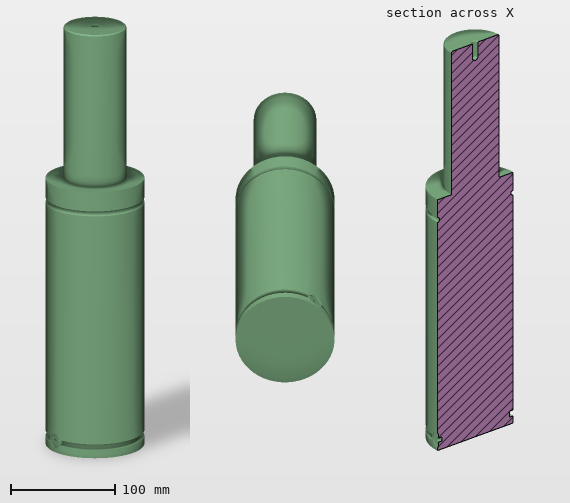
import cadquery as cq

total_height = 420.0
body_diameter = 95.0
body_height = 267.5
rod_diameter = 60.0
rod_chamfer = 1.3
body_radius = body_diameter / 2

base_groove_bottom = 8.0
base_groove_width = 6.0
base_groove_depth = 4.0

head_groove_center_height = 245.5
head_groove_radius = 2.5

rod_hole_diameter = 6.7
rod_hole_depth = 17.0
rod_hole_chamfer = 1.0
countersink_angle = 90
drill_tip_height = 2.0

port_height = 11.0
port_diameter = 16.0
port_face_offset = 0.5
port_bore_diameter = 14.0
port_bore_depth = 1.0
valve_hole_diameter = 3.8
valve_hole_depth = 4.0
port_root_depth = 12.5


def make_body():
    body = cq.Workplane("XY").circle(body_radius).extrude(body_height)
    base_groove = (
        cq.Workplane("XY", origin=(0, 0, base_groove_bottom))
        .circle(body_radius)
        .circle(body_radius - base_groove_depth)
        .extrude(base_groove_width)
    )
    head_groove = cq.Workplane(
        cq.Solid.makeTorus(body_radius, head_groove_radius, cq.Vector(0, 0, head_groove_center_height))
    )
    return body.cut(base_groove).cut(head_groove)


def make_rod():
    rod = cq.Workplane("XY").circle(rod_diameter / 2).extrude(total_height)
    rod = rod.faces(">Z").chamfer(rod_chamfer)
    rod = rod.faces(">Z").workplane().cskHole(
        rod_hole_diameter, rod_hole_diameter + 2 * rod_hole_chamfer, countersink_angle, rod_hole_depth
    )
    drill_tip = cq.Workplane(
        cq.Solid.makeCone(
            rod_hole_diameter / 2,
            0,
            drill_tip_height,
            pnt=cq.Vector(0, 0, total_height - rod_hole_depth),
            dir=cq.Vector(0, 0, -1),
        )
    )
    return rod.cut(drill_tip)


def port_cylinder(diameter, start_depth, end_depth):
    """Cylinder along Y between two depths below the -Y side of the body."""
    return (
        cq.Workplane("XZ", origin=(0, start_depth - body_radius, port_height))
        .circle(diameter / 2)
        .extrude(start_depth - end_depth)
    )


def add_port(part):
    bore_floor = port_face_offset + port_bore_depth
    part = part.union(port_cylinder(port_diameter, port_face_offset, port_root_depth))
    part = part.cut(port_cylinder(port_diameter, 0, port_face_offset))
    part = part.cut(port_cylinder(port_bore_diameter, port_face_offset, bore_floor))
    return part.cut(port_cylinder(valve_hole_diameter, bore_floor, bore_floor + valve_hole_depth))


result = add_port(make_body().union(make_rod()))